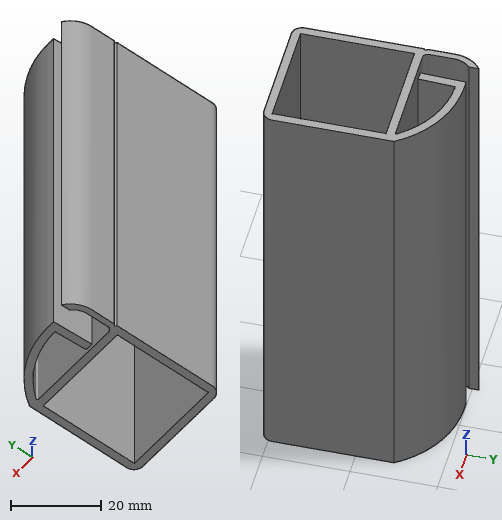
import cadquery as cq
import math

length = 100.0
tube_size = 30.0
wall = 2.0
corner_radius = 2.5

total_depth = 43.0
lip_wall = 1.5
lip_arc_start = 36.8
lip_reach = 3.2
lip_tip_height = 2.3
lip_root_radius = 1.2

groove_center_y = 30.1
groove_half_width = 0.4
groove_depth = 0.4

arch_center_x = 10.0
arch_center_y = 17.6
arch_radius = 23.7
arch_root_radius = 0.3
leg_top_x = 8.0
leg_bottom_x = 7.6
leg_bottom_y = 30.7


def tangent_arc_radius(reach, rise):
    """Radius of an arc that leaves a vertical wall and bends over by reach while climbing by rise."""
    return (reach**2 + rise**2) / (2 * reach)


def arc_middle(reach, rise, start_x):
    """Middle point of that arc when it starts at start_x."""
    radius = tangent_arc_radius(reach, rise)
    half_angle = math.asin(rise / radius) / 2
    return (
        start_x + radius * (1 - math.cos(half_angle)),
        lip_arc_start + radius * math.sin(half_angle),
    )


def arch_y(x, radius):
    """Height of an arch circle at x."""
    return arch_center_y + math.sqrt(radius**2 - (x - arch_center_x) ** 2)


def arch_x(y, radius):
    """Right-hand position of an arch circle at height y."""
    return arch_center_x + math.sqrt(radius**2 - (y - arch_center_y) ** 2)


def make_tube():
    center = tube_size / 2
    opening = tube_size - 2 * wall
    outer = cq.Workplane("XY").center(center, center).rect(tube_size, tube_size).extrude(length)
    outer = outer.edges("|Z and <Y").fillet(corner_radius)
    inner = cq.Workplane("XY").center(center, center).rect(opening, opening).extrude(length)
    return outer.cut(inner)


def make_lip():
    outer_rise = total_depth - lip_arc_start
    inner_reach = lip_reach - lip_wall
    inner_rise = outer_rise - lip_tip_height
    return (
        cq.Workplane("XY")
        .moveTo(0, tube_size - wall)
        .lineTo(0, lip_arc_start)
        .threePointArc(arc_middle(lip_reach, outer_rise, 0), (lip_reach, total_depth))
        .lineTo(lip_reach, total_depth - lip_tip_height)
        .threePointArc(arc_middle(inner_reach, inner_rise, lip_wall), (lip_wall, lip_arc_start))
        .lineTo(lip_wall, tube_size + lip_root_radius)
        .radiusArc((lip_wall + lip_root_radius, tube_size), -lip_root_radius)
        .lineTo(lip_wall + lip_root_radius, tube_size - wall)
        .close()
        .extrude(length)
    )


def make_groove():
    return (
        cq.Workplane("XY")
        .moveTo(0, groove_center_y - groove_half_width)
        .lineTo(groove_depth, groove_center_y)
        .lineTo(0, groove_center_y + groove_half_width)
        .close()
        .extrude(length)
    )


def make_hook():
    inner_radius = arch_radius - wall
    middle_x = (arch_center_x + tube_size) / 2
    leg_inner_x = leg_top_x + wall
    arch_top = arch_center_y + arch_radius
    inner_end_x = arch_x(tube_size, inner_radius)
    return (
        cq.Workplane("XY")
        .moveTo(tube_size, tube_size - wall)
        .lineTo(tube_size, arch_y(tube_size, arch_radius))
        .threePointArc((middle_x, arch_y(middle_x, arch_radius)), (arch_center_x, arch_top))
        .lineTo(leg_top_x, arch_top)
        .lineTo(leg_bottom_x, leg_bottom_y)
        .lineTo(leg_bottom_x + wall, leg_bottom_y)
        .lineTo(leg_inner_x, arch_y(leg_inner_x, inner_radius))
        .threePointArc((middle_x, arch_y(middle_x, inner_radius)), (inner_end_x, tube_size))
        .lineTo(inner_end_x, tube_size - wall)
        .close()
        .extrude(length)
    )


def round_arch_root(body):
    root_x = arch_x(tube_size, arch_radius - wall)
    root = cq.selectors.NearestToPointSelector((root_x, tube_size, length / 2))
    return body.edges(root).fillet(arch_root_radius)


profile = make_tube().union(make_lip()).union(make_hook())
result = round_arch_root(profile).cut(make_groove())